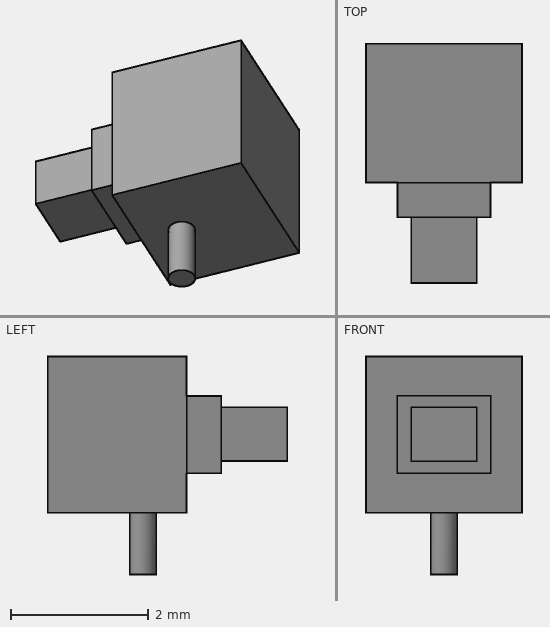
import cadquery as cq

housing_width = 2.28
housing_depth = 2.025
housing_height = housing_width
collar_axis_z = housing_height / 2

collar_width = 1.36
collar_height = 1.127
collar_length = 0.505
overall_length = 3.49
button_width = 0.96
button_height = 0.79
button_rise = 0.007
button_length = overall_length - housing_depth - collar_length

pin_diameter = 0.39
overall_height = 3.18
pin_length = overall_height - housing_height
pin_setback = 0.635


def make_housing():
    return cq.Workplane("XY").box(
        housing_width, housing_depth, housing_height, centered=(True, False, False)
    )


def make_front_block(width, height, length, back_y, axis_z):
    """Block centred on X and on height axis_z, reaching forward (-Y) from back_y."""
    block = cq.Workplane("XY").box(width, length, height)
    return block.translate((0, back_y - length / 2, axis_z))


def make_pin():
    """Pin hanging from the underside of the housing."""
    return (
        cq.Workplane("XY")
        .center(0, pin_setback)
        .circle(pin_diameter / 2)
        .extrude(-pin_length)
    )


housing = make_housing()
collar = make_front_block(collar_width, collar_height, collar_length, 0, collar_axis_z)
button = make_front_block(
    button_width, button_height, button_length, -collar_length, collar_axis_z + button_rise
)
pin = make_pin()

result = cq.Compound.makeCompound([housing.val(), collar.val(), button.val(), pin.val()])